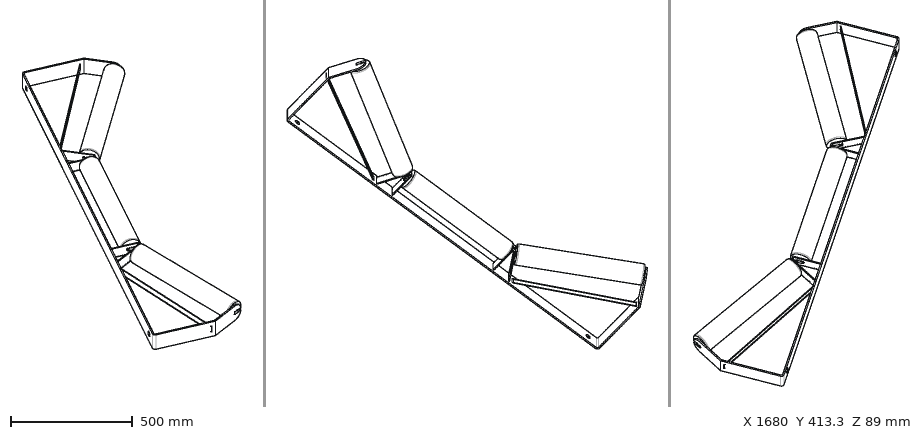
import cadquery as cq
import math


LENGTH = 1680.0
STRIP_HEIGHT = 80.0
STRIP_THICKNESS = 7.0
CORNER_RADIUS = 12.0
BEND_Y = 269.0
TIP_RISE = 161.0
BOLT_HOLE_DIAMETER = 22.0
BOLT_HOLE_INSET = 57.0

WING_ANGLE = 30.0
ROLLER_DIAMETER = 89.0
ROLLER_GAP = 5.0
SUPPORT_SPAN = 541.0
RIM_LENGTH = 5.9
RIM_DROP = 2.0
SHAFT_DIAMETER = 24.0
SHAFT_FLATS = 15.0
WING_AXIS_RISE = 131.0
MIDDLE_AXIS_Y = 97.0

BRACKET_THICKNESS = 5.0
BRACKET_HEIGHT = 50.0
BRACKET_TOP_Y = 130.0
BRACE_THICKNESS = 3.0
BRACE_HEIGHT = 30.0
BRACE_WALL_Y = 254.0
BRACE_FOOT_X = -376.0

HALF_LENGTH = LENGTH / 2
HALF_SPAN = SUPPORT_SPAN / 2
ROLLER_LENGTH = SUPPORT_SPAN - 2 * ROLLER_GAP
CORNER_INNER_RADIUS = CORNER_RADIUS - STRIP_THICKNESS
WING_RADIANS = math.radians(WING_ANGLE)
COS = math.cos(WING_RADIANS)
SIN = math.sin(WING_RADIANS)
CUT_REACH = STRIP_HEIGHT



def wing_point(along, rise):
    """XY point measured from the left outer bend: along the wing axis, then up the leaning wall."""
    return (-HALF_LENGTH + along * COS + rise * SIN, BEND_Y - along * SIN + rise * COS)


def wing_point_at_y(along, y):
    """XY point at the given Y on the plane that lies 'along' the wing axis from the bend."""
    return wing_point(along, (y - BEND_Y + along * SIN) / COS)


def place_on_wing(body):
    """Move a body built along X at the origin onto the left wing axis, centred between supports."""
    centre = wing_point(STRIP_THICKNESS + HALF_SPAN, WING_AXIS_RISE)
    return body.rotate((0, 0, 0), (0, 0, 1), -WING_ANGLE).translate((*centre, 0))


def place_in_middle(body):
    """Move a body built along X at the origin onto the level roller axis."""
    return body.translate((0, MIDDLE_AXIS_Y, 0))


def mirrored(body):
    return body.mirror("YZ")


def bar(outline, height):
    """XY outline extruded along Z, centred on Z = 0."""
    return cq.Workplane("XY", origin=(0, 0, -height / 2)).polyline(outline).close().extrude(height)



def flatted_shaft(left, right):
    """Shaft along X with two flats facing up and down."""
    round_bar = cq.Workplane("YZ", origin=(left, 0, 0)).circle(SHAFT_DIAMETER / 2).extrude(right - left)
    flats = cq.Workplane("XY").box(LENGTH, SHAFT_DIAMETER, SHAFT_FLATS)
    return round_bar.intersect(flats)


def make_roller(left_support, right_support):
    """Roller along X at the origin; its shaft ends flush with supports of the given thicknesses."""
    start = cq.Workplane("YZ", origin=(-ROLLER_LENGTH / 2, 0, 0))
    drum = start.circle(ROLLER_DIAMETER / 2).extrude(ROLLER_LENGTH)
    drum = drum.faces("<X or >X").chamfer(RIM_LENGTH, RIM_DROP)
    return drum.union(flatted_shaft(-HALF_SPAN - left_support, HALF_SPAN + right_support))


def make_left_shaft_slot():
    """Cutter for the left shaft end: shaft section open towards +Y, for a roller at the origin."""
    inner_end = -HALF_SPAN + ROLLER_GAP / 2
    outer_end = -HALF_SPAN - CUT_REACH
    seat = flatted_shaft(outer_end, inner_end)
    opening = cq.Workplane("XY").box(inner_end - outer_end, CUT_REACH, SHAFT_FLATS)
    return seat.union(opening.translate(((inner_end + outer_end) / 2, CUT_REACH / 2, 0)))



def make_left_brace():
    """Sloping bar from the base to the outer face of the side wall, which it passes through."""
    slope = math.atan2(BRACE_WALL_Y - STRIP_THICKNESS, BRACE_FOOT_X + HALF_LENGTH)
    half_at_wall = BRACE_THICKNESS / 2 / math.cos(slope)
    half_at_foot = BRACE_THICKNESS / 2 / math.sin(slope)
    return bar([
        (-HALF_LENGTH, BRACE_WALL_Y + half_at_wall),
        (-HALF_LENGTH, BRACE_WALL_Y - half_at_wall),
        (BRACE_FOOT_X - half_at_foot, STRIP_THICKNESS),
        (BRACE_FOOT_X + half_at_foot, STRIP_THICKNESS),
    ], BRACE_HEIGHT)



def make_left_bracket():
    """Leaning leg, short bridge and upright leg, slotted for the wing and middle shafts."""
    wing_face = STRIP_THICKNESS + SUPPORT_SPAN
    wing_back = wing_face + BRACKET_THICKNESS
    middle_face_x = -HALF_SPAN
    middle_back_x = middle_face_x - BRACKET_THICKNESS
    bridge_underside = BRACKET_TOP_Y - BRACKET_THICKNESS
    bracket = bar([
        wing_point_at_y(wing_face, STRIP_THICKNESS),
        wing_point_at_y(wing_face, BRACKET_TOP_Y),
        (middle_face_x, BRACKET_TOP_Y),
        (middle_face_x, STRIP_THICKNESS),
        (middle_back_x, STRIP_THICKNESS),
        (middle_back_x, bridge_underside),
        wing_point_at_y(wing_back, bridge_underside),
        wing_point_at_y(wing_back, STRIP_THICKNESS),
    ], BRACKET_HEIGHT)
    slot = make_left_shaft_slot()
    return bracket.cut(place_on_wing(mirrored(slot))).cut(place_in_middle(slot))



def make_bent_strip():
    """Base, side walls and leaning walls as one strip with rounded base corners."""
    inner_bend_rise = STRIP_THICKNESS * math.tan(WING_RADIANS / 2)
    inner_corner_x = HALF_LENGTH - STRIP_THICKNESS
    left_half = [
        (-HALF_LENGTH, 0),
        (-HALF_LENGTH, BEND_Y),
        wing_point(0, TIP_RISE),
        wing_point(STRIP_THICKNESS, TIP_RISE),
        wing_point(STRIP_THICKNESS, inner_bend_rise),
        (-inner_corner_x, STRIP_THICKNESS),
    ]
    right_half = [(-x, y) for x, y in reversed(left_half)]
    strip = bar(left_half + right_half, STRIP_HEIGHT)
    for side in (-1, 1):
        outer_corner = cq.selectors.NearestToPointSelector((side * HALF_LENGTH, 0, 0))
        strip = strip.edges("|Z").edges(outer_corner).fillet(CORNER_RADIUS)
        inner_corner = cq.selectors.NearestToPointSelector((side * inner_corner_x, STRIP_THICKNESS, 0))
        strip = strip.edges("|Z").edges(inner_corner).fillet(CORNER_INNER_RADIUS)
    return strip


def make_left_tip_cutter():
    """Material outside the half-round tip of the left leaning wall."""
    tip_radius = STRIP_HEIGHT / 2
    tip_centre = TIP_RISE - WING_AXIS_RISE - tip_radius
    depth = 3 * STRIP_THICKNESS
    start = cq.Workplane("YZ", origin=(-HALF_SPAN - 2 * STRIP_THICKNESS, tip_centre, 0))
    block = start.center(tip_radius, 0).rect(STRIP_HEIGHT, 2 * STRIP_HEIGHT).extrude(depth)
    return place_on_wing(block.cut(start.circle(tip_radius).extrude(depth)))


def make_frame():
    """Bent strip with rounded tips, shaft slots, brace slots and bolt holes."""
    frame = make_bent_strip()
    for cutter in (make_left_tip_cutter(), place_on_wing(make_left_shaft_slot()), make_left_brace()):
        frame = frame.cut(cutter).cut(mirrored(cutter))
    hole_x = HALF_LENGTH - BOLT_HOLE_INSET
    holes = cq.Workplane("XZ").pushPoints([(-hole_x, 0), (hole_x, 0)])
    return frame.cut(holes.circle(BOLT_HOLE_DIAMETER / 2).extrude(-STRIP_THICKNESS))



frame = make_frame()
middle_roller = place_in_middle(make_roller(BRACKET_THICKNESS, BRACKET_THICKNESS))
left_bodies = [
    place_on_wing(make_roller(STRIP_THICKNESS, BRACKET_THICKNESS)),
    make_left_bracket(),
    make_left_brace(),
]
right_bodies = [mirrored(body) for body in left_bodies]

result = cq.Compound.makeCompound(
    [frame.val(), middle_roller.val()] + [body.val() for body in left_bodies + right_bodies]
)